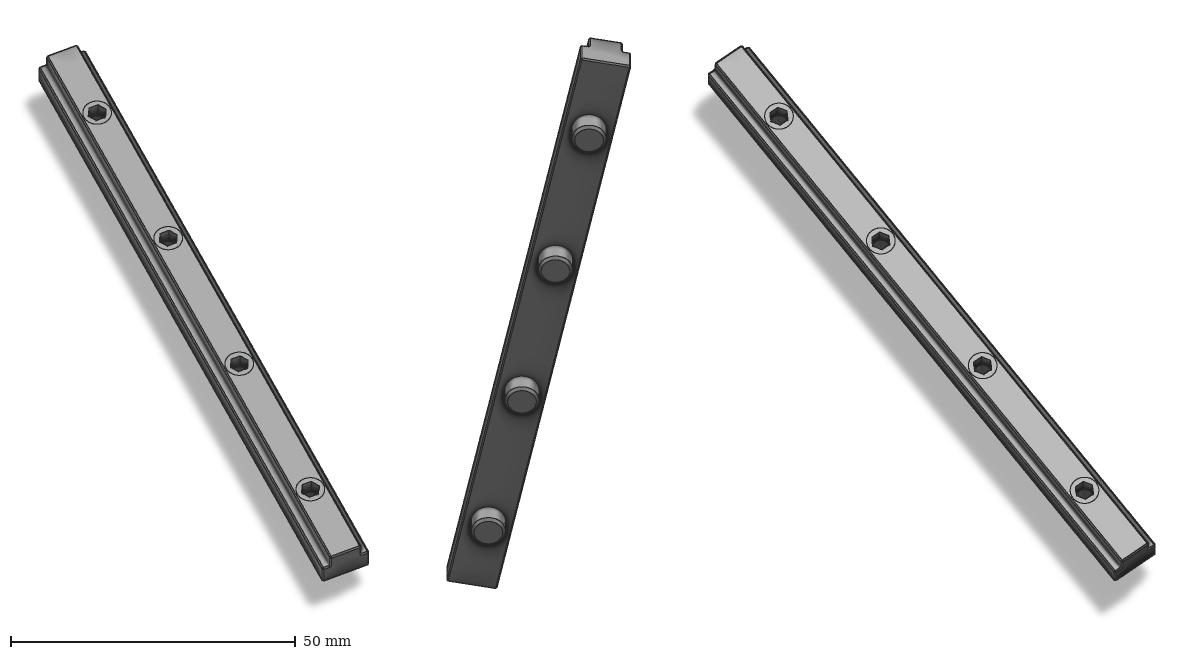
import cadquery as cq
import math

LENGTH = 120.0
BASE_WIDTH = 9.0
TOTAL_HEIGHT = 10.0

BASE_HEIGHT = 4.0
STEM_HEIGHT = 2.5
STEM_WIDTH = 6.0
RAIL_HEIGHT = BASE_HEIGHT + STEM_HEIGHT
EDGE_CHAMFER = 0.26
CORNER_RADIUS = 0.4

SCREW_COUNT = 4
SCREW_SPACING = LENGTH / SCREW_COUNT
SCREW_DIAMETER = 6.0
NECK_DIAMETER = 5.0
TIP_CHAMFER = (SCREW_DIAMETER - NECK_DIAMETER) / 2
SCREW_BOTTOM = RAIL_HEIGHT - TOTAL_HEIGHT

SOCKET_FLATS = 3.0
SOCKET_CORNERS = SOCKET_FLATS / math.cos(math.radians(30))
SOCKET_DEPTH = 3.0
CONE_HALF_ANGLE = 60.0
CONE_DEPTH = SOCKET_FLATS / 2 / math.tan(math.radians(CONE_HALF_ANGLE))

SCREW_POSITIONS = [((i - (SCREW_COUNT - 1) / 2) * SCREW_SPACING, 0) for i in range(SCREW_COUNT)]


def make_rail():
    base = cq.Workplane("XY").box(LENGTH, BASE_WIDTH, BASE_HEIGHT, centered=(True, True, False))
    stem = cq.Workplane("XY").box(LENGTH, STEM_WIDTH, RAIL_HEIGHT, centered=(True, True, False))
    inside_corners = cq.selectors.BoxSelector(
        (-LENGTH / 2, -STEM_WIDTH / 2 - CORNER_RADIUS, BASE_HEIGHT - CORNER_RADIUS),
        (LENGTH / 2, STEM_WIDTH / 2 + CORNER_RADIUS, BASE_HEIGHT + CORNER_RADIUS),
    )
    body = base.union(stem).edges("|X").edges(inside_corners).fillet(CORNER_RADIUS)
    body = body.edges("<X or >X or <Y or >Y or <Z or >Z").chamfer(EDGE_CHAMFER)
    holes = (
        cq.Workplane("XY")
        .pushPoints(SCREW_POSITIONS)
        .circle(NECK_DIAMETER / 2)
        .extrude(RAIL_HEIGHT)
    )
    return body.cut(holes)


def make_socket():
    """Hexagonal socket with two corners along Y and a conical floor."""
    floor = RAIL_HEIGHT - SOCKET_DEPTH
    hexagon = (
        cq.Workplane("XY", origin=(0, 0, floor))
        .transformed(rotate=(0, 0, 90))
        .polygon(6, SOCKET_CORNERS)
        .extrude(SOCKET_DEPTH)
    )
    cone = cq.Workplane(
        cq.Solid.makeCone(0, SOCKET_FLATS / 2, CONE_DEPTH, pnt=cq.Vector(0, 0, floor - CONE_DEPTH))
    )
    return hexagon.union(cone)


def make_screw(x, y):
    end = (
        cq.Workplane("XY", origin=(0, 0, SCREW_BOTTOM))
        .circle(SCREW_DIAMETER / 2)
        .extrude(-SCREW_BOTTOM)
        .faces("<Z")
        .chamfer(TIP_CHAMFER)
    )
    neck = cq.Workplane("XY").circle(NECK_DIAMETER / 2).extrude(RAIL_HEIGHT)
    return end.union(neck).cut(make_socket()).translate((x, y, 0))


rail = make_rail()
screws = [make_screw(x, y) for x, y in SCREW_POSITIONS]

result = cq.Compound.makeCompound([rail.val(), *[screw.val() for screw in screws]])